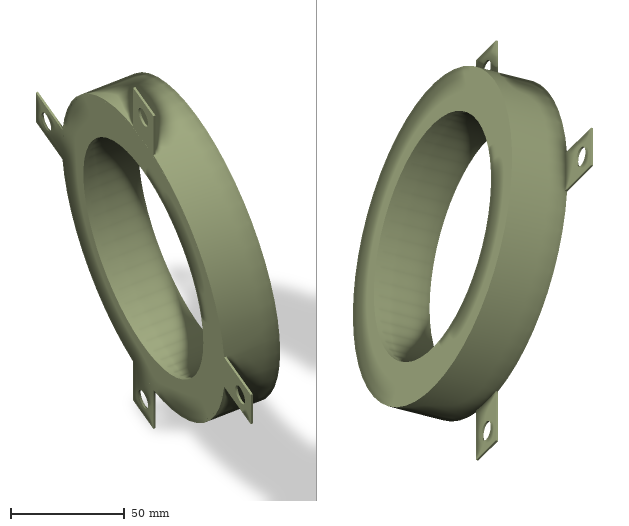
import cadquery as cq

overall_span = 204.6
depth = 27.6

sleeve_outer_radius = 77.5
sleeve_wall = 1.0
core_outer_radius = sleeve_outer_radius - sleeve_wall
core_inner_radius = 57.0

tab_count = 4
tab_width = 19.2
tab_thickness = 1.0
tab_hole_diameter = 9.0
tab_hole_end_distance = 10.0
tab_hole_center_radius = overall_span / 2 - tab_hole_end_distance

front_y = -depth / 2


def front_plane():
    """Sketch plane on the front face, with X right, Z up and its normal toward -Y."""
    return cq.Workplane("XZ", origin=(0, front_y, 0))


def make_tube(outer_radius, inner_radius):
    """Full-depth round tube starting at the front face."""
    return front_plane().circle(outer_radius).circle(inner_radius).extrude(-depth)


def make_tab():
    """Flat drilled tab, reaching from the inside of the sleeve wall out along +X."""
    tab_end = overall_span / 2
    blank = (
        front_plane()
        .center(tab_end / 2, 0)
        .rect(tab_end, tab_width)
        .extrude(-tab_thickness)
    )
    bore = front_plane().circle(core_outer_radius).extrude(-tab_thickness)
    hole = (
        front_plane()
        .center(tab_hole_center_radius, 0)
        .circle(tab_hole_diameter / 2)
        .extrude(-tab_thickness)
    )
    return blank.cut(bore).cut(hole)


def make_sleeve():
    """Thin sleeve with equally spaced tabs flush with its front edge."""
    sleeve = make_tube(sleeve_outer_radius, core_outer_radius)
    tab = make_tab()
    for index in range(tab_count):
        angle = index * 360 / tab_count
        sleeve = sleeve.union(tab.rotate((0, 0, 0), (0, 1, 0), angle))
    return sleeve


def make_core():
    """Thick ring filling the sleeve."""
    return make_tube(core_outer_radius, core_inner_radius)


sleeve = make_sleeve()
core = make_core()

result = cq.Compound.makeCompound([sleeve.val(), core.val()])